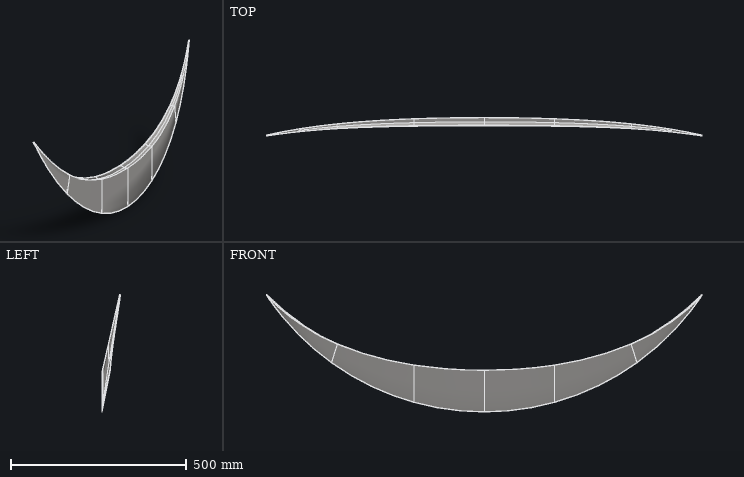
import cadquery as cq


span = 1242.25
depth = 52.88
height = 335.37

lower_edge_radius = 746.0
rear_edge_height = 114.0
front_rise_mid = 5.5
front_fall_outer = 18.0
front_recovery_tip = 11.0
middle_thickness = 24.0
tip_thickness = 2.6
bow_square_share = 0.6

valley_share = 0.52
rim_share = 1 / 12
valley_drop_mid = 4.0

inner_seam_x = 200.0
outer_seam_foot_x = 480.0
outer_seam_lean = 0.315

rail_intervals = 40
cutter_margin = 20.0

half_span = span / 2
rear_bow = depth - tip_thickness
tip_rise = height - rear_edge_height


def bow_share(x):
    """Share of the full bow reached at x: 0 at the middle, 1 at the tips."""
    u = x / half_span
    return bow_square_share * u**2 + (1 - bow_square_share) * u**4


def back_y(x):
    return depth - rear_bow * bow_share(x)


def thickness(x):
    return tip_thickness + (middle_thickness - tip_thickness) * (1 - (x / half_span) ** 2)


def rear_edge_z(x):
    return rear_edge_height + tip_rise * bow_share(x)


def front_rim_z(x):
    u = abs(x) / half_span
    return rear_edge_z(x) + front_rise_mid - front_fall_outer * u**4 + front_recovery_tip * u**16


def valley_z(x):
    """The valley hangs below a straight top and fades out towards the tips."""
    rear = rear_edge_z(x)
    straight_top = rear + valley_share * (front_rim_z(x) - rear)
    return straight_top - valley_drop_mid * (1 - (x / half_span) ** 2)


def lower_edge_z(x):
    return lower_edge_radius - (lower_edge_radius**2 - x**2) ** 0.5


def section_corners(x):
    """Cross-section at x: lower edge, rear edge, valley, back of the rim, front of the rim."""
    back = back_y(x)
    width = thickness(x)
    return [
        cq.Vector(x, back, lower_edge_z(x)),
        cq.Vector(x, back, rear_edge_z(x)),
        cq.Vector(x, back - valley_share * width, valley_z(x)),
        cq.Vector(x, back - (1 - rim_share) * width, front_rim_z(x)),
        cq.Vector(x, back - width, front_rim_z(x)),
    ]


def make_visor():
    stations = [-half_span + span * i / rail_intervals for i in range(rail_intervals + 1)]
    sections = [section_corners(x) for x in stations]
    rails = [cq.Edge.makeSpline(list(points)) for points in zip(*sections)]
    faces = [
        cq.Face.makeRuledSurface(rail, rails[(i + 1) % len(rails)])
        for i, rail in enumerate(rails)
    ]
    for tip in (sections[0], sections[-1]):
        outline = cq.Wire.makePolygon(tip, close=True)
        faces.append(cq.Face.makeFromWires(outline))
    return cq.Workplane(cq.Solid.makeSolid(cq.Shell.makeShell(faces)).fix())


seam_bottom = -cutter_margin
seam_top = height + cutter_margin
cutter_depth = depth + 2 * cutter_margin


def seam_ends(side, foot_x, lean=0.0):
    """Bottom and top points of a seam line in the XZ plane; side is -1 or 1."""
    return [(side * (foot_x - lean * z), z) for z in (seam_bottom, seam_top)]


def make_segment(visor, left_seam, right_seam):
    outline = left_seam + right_seam[::-1]
    cutter = (
        cq.Workplane("XZ", origin=(0, -cutter_margin, 0))
        .polyline(outline)
        .close()
        .extrude(-cutter_depth)
    )
    return visor.intersect(cutter).solids()


seams = [
    seam_ends(-1, half_span + cutter_margin),
    seam_ends(-1, outer_seam_foot_x, outer_seam_lean),
    seam_ends(-1, inner_seam_x),
    seam_ends(1, 0),
    seam_ends(1, inner_seam_x),
    seam_ends(1, outer_seam_foot_x, outer_seam_lean),
    seam_ends(1, half_span + cutter_margin),
]

visor = make_visor()
segments = [make_segment(visor, left, right) for left, right in zip(seams, seams[1:])]

result = cq.Compound.makeCompound([segment.val() for segment in segments])